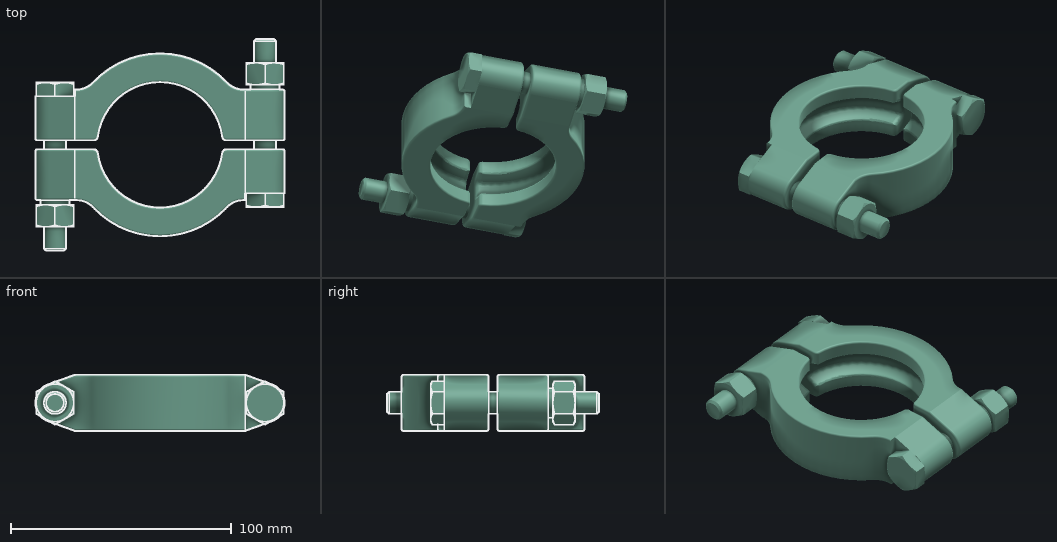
import cadquery as cq
import math

LENGTH = 113.0
THICKNESS = 25.5
GAP = 4.0
OUTER_RADIUS = 41.5
BORE_RADIUS = 28.4
EDGE_RADIUS = 1.0
CORNER_RADIUS = 2.0
NECK_RADIUS = 10.4

GROOVE_RADIUS = 34.1
GROOVE_WALL_ANGLE = 20.0
GROOVE_MOUTH = 11.6
GROOVE_ROOT_FILLET = 2.0
LIP_RADIUS = 1.0

EAR_RADIUS = 8.9
EAR_FACE_Y = 25.1
EAR_SLOPE_X = 38.5
HEAD_SEAT_Y = 22.0

BOLT_X = LENGTH / 2 - EAR_RADIUS
BOLT_DIAMETER = 10.1
BOLT_END_Y = 48.0
BOLT_CHAMFER = 1.0
HEX_FLATS = 17.1
HEAD_HEIGHT = 6.2
WASHER_RADIUS = 6.7
WASHER_HEIGHT = 2.0
NUT_HEIGHT = 10.1
HEX_CHAMFER_ANGLE = 30.0


def plan_blank():
    """Half ring with two ears and concave necks, before the end slopes are cut."""
    half_length = LENGTH / 2
    gap_y = GAP / 2
    neck_center_y = EAR_FACE_Y + NECK_RADIUS
    neck_center_distance = OUTER_RADIUS + NECK_RADIUS
    neck_x = math.sqrt(neck_center_distance**2 - neck_center_y**2)
    ratio = OUTER_RADIUS / neck_center_distance
    tangent_x = neck_x * ratio
    tangent_y = neck_center_y * ratio
    neck_angle = math.atan2(neck_center_y, neck_x)
    middle_angle = (neck_angle + math.pi / 2) / 2
    neck_middle_x = neck_x - NECK_RADIUS * math.cos(middle_angle)
    neck_middle_y = neck_center_y - NECK_RADIUS * math.sin(middle_angle)
    bore_x = math.sqrt(BORE_RADIUS**2 - gap_y**2)

    outline = (
        cq.Workplane("XY")
        .workplane(offset=-THICKNESS / 2)
        .moveTo(bore_x, gap_y)
        .lineTo(half_length, gap_y)
        .lineTo(half_length, EAR_FACE_Y)
        .lineTo(neck_x, EAR_FACE_Y)
        .threePointArc((neck_middle_x, neck_middle_y), (tangent_x, tangent_y))
        .threePointArc((0, OUTER_RADIUS), (-tangent_x, tangent_y))
        .threePointArc((-neck_middle_x, neck_middle_y), (-neck_x, EAR_FACE_Y))
        .lineTo(-half_length, EAR_FACE_Y)
        .lineTo(-half_length, gap_y)
        .lineTo(-bore_x, gap_y)
        .threePointArc((0, BORE_RADIUS), (bore_x, gap_y))
        .close()
    )
    return outline.extrude(THICKNESS)


def end_profile():
    """Bar along Y whose section tapers tangentially into a round at each ear."""
    half_thickness = THICKNESS / 2
    run = BOLT_X - EAR_SLOPE_X
    distance = math.hypot(run, half_thickness)
    tangent_angle = math.atan2(half_thickness, -run) - math.acos(EAR_RADIUS / distance)
    tangent_x = BOLT_X + EAR_RADIUS * math.cos(tangent_angle)
    tangent_z = EAR_RADIUS * math.sin(tangent_angle)
    section = (
        cq.Workplane("XZ")
        .moveTo(-EAR_SLOPE_X, half_thickness)
        .lineTo(EAR_SLOPE_X, half_thickness)
        .lineTo(tangent_x, tangent_z)
        .threePointArc((LENGTH / 2, 0), (tangent_x, -tangent_z))
        .lineTo(EAR_SLOPE_X, -half_thickness)
        .lineTo(-EAR_SLOPE_X, -half_thickness)
        .lineTo(-tangent_x, -tangent_z)
        .threePointArc((-LENGTH / 2, 0), (-tangent_x, tangent_z))
        .close()
    )
    return section.extrude(-OUTER_RADIUS)


def groove_cutter():
    """Ring with sloping side walls and a rounded root."""
    mouth = GROOVE_MOUTH / 2
    slope = math.tan(math.radians(GROOVE_WALL_ANGLE))
    inner_radius = BORE_RADIUS - CORNER_RADIUS
    inner_half = mouth + (BORE_RADIUS - inner_radius) * slope
    root_half = mouth - (GROOVE_RADIUS - BORE_RADIUS) * slope
    ring = (
        cq.Workplane("XZ")
        .moveTo(inner_radius, -inner_half)
        .lineTo(GROOVE_RADIUS, -root_half)
        .lineTo(GROOVE_RADIUS, root_half)
        .lineTo(inner_radius, inner_half)
        .close()
        .revolve(360, (0, 0), (0, 1))
    )
    root_edges = cq.selectors.RadiusNthSelector(-1)
    return ring.edges("%CIRCLE").edges(root_edges).fillet(GROOVE_ROOT_FILLET)


def lip_cutter():
    """Ring that rounds the upper edge between the bore and the groove wall."""
    wall_angle = math.radians(GROOVE_WALL_ANGLE)
    lip_z = GROOVE_MOUTH / 2
    tangent_length = LIP_RADIUS * math.tan((math.pi / 2 - wall_angle) / 2)
    bore_z = lip_z + tangent_length
    wall_radius = BORE_RADIUS + tangent_length * math.cos(wall_angle)
    wall_z = lip_z - tangent_length * math.sin(wall_angle)
    middle_angle = (math.pi / 2 - wall_angle) / 2
    middle_radius = BORE_RADIUS + LIP_RADIUS * (1 - math.cos(middle_angle))
    middle_z = bore_z - LIP_RADIUS * math.sin(middle_angle)
    clear_radius = BORE_RADIUS - LIP_RADIUS
    return (
        cq.Workplane("XZ")
        .moveTo(BORE_RADIUS, bore_z)
        .threePointArc((middle_radius, middle_z), (wall_radius, wall_z))
        .lineTo(clear_radius, wall_z)
        .lineTo(clear_radius, bore_z)
        .close()
        .revolve(360, (0, 0), (0, 1))
    )


def head_seat_cutter():
    """Flat recess under the bolt head on the -X ear."""
    width = LENGTH / 2 - EAR_SLOPE_X
    depth = EAR_FACE_Y - HEAD_SEAT_Y
    recess = cq.Workplane("XY").box(width, depth, THICKNESS, centered=(False, False, True))
    return recess.translate((-LENGTH / 2, HEAD_SEAT_Y, 0))


def clamp_half():
    """The +Y half, with its bolt head seat at -X."""
    body = plan_blank().cut(groove_cutter())
    corner_reach = GROOVE_RADIUS + CORNER_RADIUS
    inner_height = THICKNESS / 2 - EDGE_RADIUS
    inner_edges = cq.selectors.BoxSelector(
        (-corner_reach, 0, -inner_height), (corner_reach, GAP, inner_height)
    )
    body = body.faces("<Y").edges(inner_edges).fillet(CORNER_RADIUS)
    lip = lip_cutter()
    body = body.cut(lip).cut(lip.mirror("XY"))

    body = body.intersect(end_profile())
    body = body.faces("<Y").edges(-inner_edges).fillet(EDGE_RADIUS)
    outer_rims = cq.selectors.BoxSelector(
        (-LENGTH, EAR_FACE_Y - EDGE_RADIUS, -THICKNESS), (LENGTH, LENGTH, THICKNESS)
    )
    body = body.edges(outer_rims).edges("not |Z").fillet(EDGE_RADIUS)
    return body.cut(head_seat_cutter())


def hexagon(height):
    """Hexagonal prism along +Z with two flats facing +X and -X."""
    across_corners = HEX_FLATS / math.cos(math.pi / 6)
    prism = cq.Workplane("XY").polygon(6, across_corners).extrude(height)
    half_side_angle = 30
    return prism.rotate((0, 0, 0), (0, 0, 1), half_side_angle)


def hex_chamfer_cone(height):
    """Body of revolution that rounds off the +Z corners of a hexagon."""
    flat_radius = HEX_FLATS / 2
    reach = HEX_FLATS
    drop = (reach - flat_radius) * math.tan(math.radians(HEX_CHAMFER_ANGLE))
    return (
        cq.Workplane("XZ")
        .moveTo(0, -reach)
        .lineTo(reach, -reach)
        .lineTo(reach, height - drop)
        .lineTo(flat_radius, height)
        .lineTo(0, height)
        .close()
        .revolve(360, (0, 0), (0, 1))
    )


def bolt_set():
    """Bolt, washer and nut on the -X ears, head on the +Y side."""
    head = hexagon(HEAD_HEIGHT).intersect(hex_chamfer_cone(HEAD_HEIGHT))
    nut = hexagon(NUT_HEIGHT).intersect(hex_chamfer_cone(NUT_HEIGHT))
    nut = nut.intersect(hex_chamfer_cone(NUT_HEIGHT).mirror("XY").translate((0, 0, NUT_HEIGHT)))

    shank_length = HEAD_SEAT_Y + BOLT_END_Y
    nut_seat = HEAD_SEAT_Y + EAR_FACE_Y + WASHER_HEIGHT
    shank = cq.Workplane("XY").circle(BOLT_DIAMETER / 2).extrude(-shank_length)
    shank = shank.faces("<Z").chamfer(BOLT_CHAMFER)
    washer = cq.Workplane("XY").circle(WASHER_RADIUS).extrude(WASHER_HEIGHT)
    bolt = (
        head.union(shank)
        .union(washer.translate((0, 0, -nut_seat)))
        .union(nut.translate((0, 0, -nut_seat - NUT_HEIGHT)))
    )
    return bolt.rotate((0, 0, 0), (1, 0, 0), -90).translate((-BOLT_X, HEAD_SEAT_Y, 0))


half_set = clamp_half().union(bolt_set())
result = half_set.union(half_set.rotate((0, 0, 0), (0, 0, 1), 180))